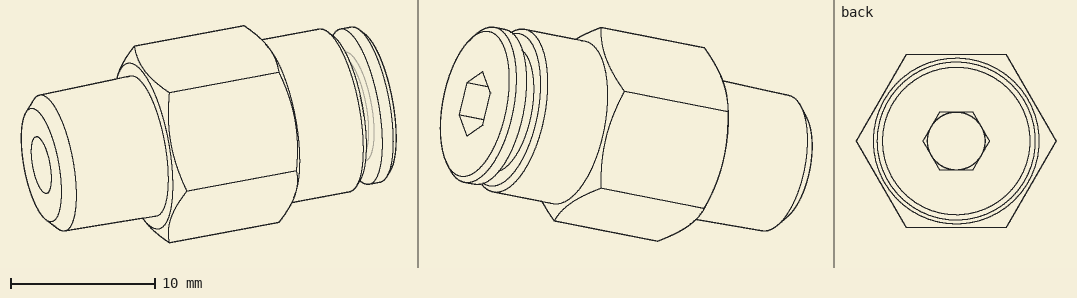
import cadquery as cq
import math


total_length = 24.35
thread_length = 7.55
hex_end = 16.96
body_end = 22.03
neck_start = 22.56
collar_start = 23.17

thread_tip_radius = 4.8
thread_root_radius = 4.95
thread_chamfer = 0.8

hex_across_flats = 12.0
hex_corner_diameter = hex_across_flats / math.cos(math.pi / 6)
hex_face_radius = 5.85
hex_chamfer_angle = math.radians(30)

body_radius = 5.75
body_chamfer = 0.37
shoulder_radius = 4.38
neck_radius = 3.55
collar_radius = 5.48
collar_chamfer = 0.37
neck_fillet = 0.3

bore_radius = 2.0
bore_depth = 1.95
socket_corner_diameter = 2 * bore_radius / math.cos(math.pi / 6)


def revolve_about_axis(outline):
    """Turn a closed half-section, drawn with radius along X, into a solid about Y."""
    return outline.close().revolve(360, (0, 0), (0, 1))


def turned_body():
    outline = (
        cq.Workplane("XY")
        .lineTo(thread_tip_radius - thread_chamfer, 0)
        .lineTo(thread_tip_radius, thread_chamfer)
        .lineTo(thread_root_radius, thread_length)
        .lineTo(body_radius, thread_length)
        .lineTo(body_radius, body_end - body_chamfer)
        .lineTo(body_radius - body_chamfer, body_end)
        .lineTo(shoulder_radius, body_end)
        .lineTo(neck_radius, neck_start)
        .lineTo(neck_radius, collar_start - neck_fillet)
        .radiusArc((neck_radius + neck_fillet, collar_start), neck_fillet)
        .lineTo(collar_radius, collar_start)
        .lineTo(collar_radius, total_length - collar_chamfer)
        .lineTo(collar_radius - collar_chamfer, total_length)
        .lineTo(0, total_length)
    )
    return revolve_about_axis(outline)


def hex_prism(corner_diameter, start, end):
    return (
        cq.Workplane("XZ", origin=(0, start, 0))
        .polygon(6, corner_diameter)
        .extrude(start - end)
    )


def chamfered_hex():
    """Hexagon with conical ends; the rear cone runs down to the round body."""
    corner_radius = hex_corner_diameter / 2
    slope = math.tan(hex_chamfer_angle)
    front_chamfer = (corner_radius - hex_face_radius) * slope
    rear_chamfer = (corner_radius - body_radius) * slope
    envelope = (
        cq.Workplane("XY")
        .moveTo(0, thread_length)
        .lineTo(hex_face_radius, thread_length)
        .lineTo(corner_radius, thread_length + front_chamfer)
        .lineTo(corner_radius, hex_end - rear_chamfer)
        .lineTo(body_radius, hex_end)
        .lineTo(0, hex_end)
    )
    prism = hex_prism(hex_corner_diameter, thread_length, hex_end)
    return prism.intersect(revolve_about_axis(envelope))


def passage():
    entry = cq.Workplane("XZ").circle(bore_radius).extrude(-bore_depth)
    socket = hex_prism(socket_corner_diameter, bore_depth, total_length)
    return entry.union(socket)


result = turned_body().union(chamfered_hex()).cut(passage())